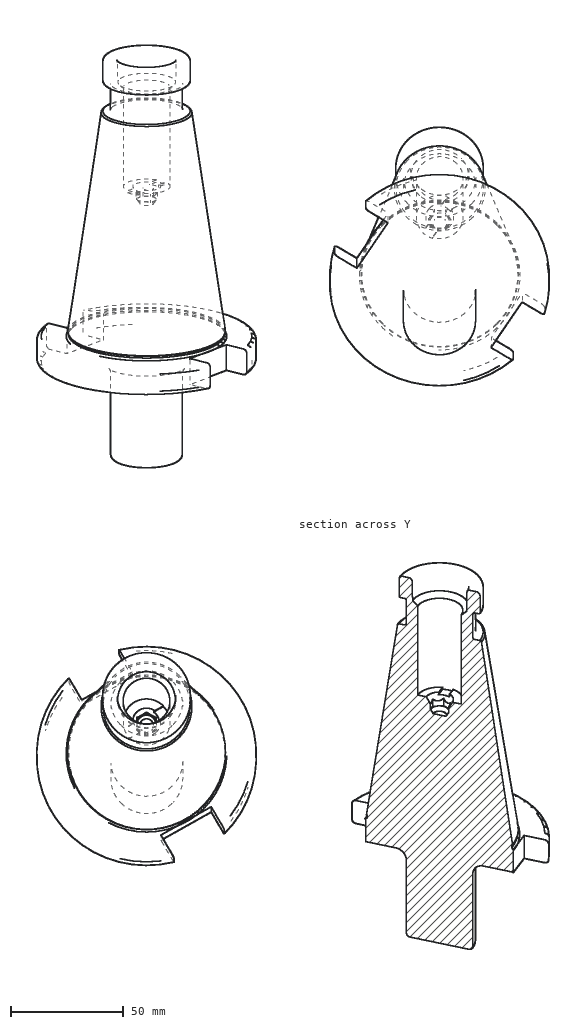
import cadquery as cq
import math


gauge_radius = 69.85 / 2
taper_slope = 7 / 48
taper_top_z = 101.8
taper_edge_chamfer = 0.7

collar_radius = 39.0 / 2
collar_top_z = 126.8
collar_height = 11.5
collar_top_fillet = 2.0
collar_bottom_fillet = 1.0
neck_radius = 16.0
neck_fillet = 0.8

flange_radius = 97.5 / 2
flange_top_z = -3.2
flange_thickness = 12.0
flange_fillet = 2.0
slot_width = 25.7
slot_floor_x = 35.3

taper_bottom_z = -1.0
undercut_depth = 0.4
undercut_fillet = 1.0

shank_radius = 16.0
shank_bottom_z = -60.0
shank_root_fillet = 5.0
shank_end_fillet = 2.0

bore_radius = 13.0
bore_mouth_fillet = 1.6
bore_depth = 9.0
bore_step_radius = 12.8
bore_step_chamfer_height = 0.8
bore_step_height = 2.4
thread_radius = 20.75 / 2
thread_lead_in_height = bore_step_radius - thread_radius
thread_bottom_depth = 60.0

cross_slot_width = 5.0
cross_slot_depth = 1.0
socket_mouth_radius = 6.2
socket_mouth_half_angle = math.radians(30)
socket_across_flats = 8.5
hexagon_sides = 6
socket_depth = 6.0
socket_tip_radius = 3.0
socket_tip_height = 2.0

flange_bottom_z = flange_top_z - flange_thickness
collar_bottom_z = collar_top_z - collar_height
thread_bottom_z = collar_top_z - thread_bottom_depth

OUT = (1, 0)
IN = (-1, 0)
UP = (0, 1)


def taper_radius(z):
    """Radius of the 7:24 taper at height z."""
    return gauge_radius - taper_slope * z


def rounded_corner(profile, corner, incoming, outgoing, radius):
    """Round an axis-aligned corner, given the travel directions into and out of it."""
    inset = radius * (1 - math.sqrt(0.5))
    start = (corner[0] - radius * incoming[0], corner[1] - radius * incoming[1])
    middle = (
        corner[0] + inset * (outgoing[0] - incoming[0]),
        corner[1] + inset * (outgoing[1] - incoming[1]),
    )
    end = (corner[0] + radius * outgoing[0], corner[1] + radius * outgoing[1])
    return profile.lineTo(*start).threePointArc(middle, end)


def revolve_about_axis(outline):
    """Close a (radius, height) outline and spin it a full turn about Z."""
    return outline.close().revolve(360, (0, 0), (0, 1))


def make_body():
    """Shank, flange, taper, neck and collar as one turned solid."""
    taper_bottom_radius = taper_radius(taper_bottom_z)
    undercut_radius = taper_bottom_radius - undercut_depth
    outline = cq.Workplane("XZ").moveTo(0, shank_bottom_z)
    outline = rounded_corner(outline, (shank_radius, shank_bottom_z), OUT, UP, shank_end_fillet)
    outline = rounded_corner(outline, (shank_radius, flange_bottom_z), UP, OUT, shank_root_fillet)
    outline = rounded_corner(outline, (flange_radius, flange_bottom_z), OUT, UP, flange_fillet)
    outline = rounded_corner(outline, (flange_radius, flange_top_z), UP, IN, flange_fillet)
    outline = rounded_corner(outline, (undercut_radius, flange_top_z), IN, UP, undercut_fillet)
    outline = outline.lineTo(undercut_radius, taper_bottom_z - undercut_depth)
    outline = outline.lineTo(taper_bottom_radius, taper_bottom_z)
    chamfer_z = taper_top_z - taper_edge_chamfer
    outline = outline.lineTo(taper_radius(chamfer_z), chamfer_z)
    outline = outline.lineTo(taper_radius(taper_top_z) - taper_edge_chamfer, taper_top_z)
    outline = rounded_corner(outline, (neck_radius, taper_top_z), IN, UP, neck_fillet)
    outline = rounded_corner(outline, (neck_radius, collar_bottom_z), UP, OUT, neck_fillet)
    outline = rounded_corner(outline, (collar_radius, collar_bottom_z), OUT, UP, collar_bottom_fillet)
    outline = rounded_corner(outline, (collar_radius, collar_top_z), UP, IN, collar_top_fillet)
    return revolve_about_axis(outline.lineTo(0, collar_top_z))


def cut_drive_slots(body):
    """Cut the two square slots through the flange rim at +X and -X."""
    slot_length = flange_radius - slot_floor_x
    slot_center_x = slot_floor_x + slot_length / 2
    for side in (1, -1):
        slot_plane = cq.Workplane("XY", origin=(side * slot_center_x, 0, flange_bottom_z))
        body = body.cut(slot_plane.rect(slot_length, slot_width).extrude(flange_thickness))
    return body


def make_bore():
    """Rounded mouth, step and threaded hole, drawn from the hole floor upward."""
    step_top_z = collar_top_z - bore_depth
    step_bottom_z = step_top_z - bore_step_height
    outline = cq.Workplane("XZ").moveTo(0, thread_bottom_z).lineTo(thread_radius, thread_bottom_z)
    outline = outline.lineTo(thread_radius, step_bottom_z - thread_lead_in_height)
    outline = outline.lineTo(bore_step_radius, step_bottom_z)
    outline = outline.lineTo(bore_step_radius, step_top_z - bore_step_chamfer_height)
    outline = outline.lineTo(bore_radius, step_top_z)
    outline = rounded_corner(outline, (bore_radius, collar_top_z), UP, OUT, bore_mouth_fillet)
    return revolve_about_axis(outline.lineTo(0, collar_top_z))


def make_cross_slot():
    """Slot along Y across the hole floor, ending at the hole wall."""
    floor_plane = cq.Workplane("XY", origin=(0, 0, thread_bottom_z))
    bar = floor_plane.rect(cross_slot_width, 2 * thread_radius).extrude(-cross_slot_depth)
    disc = floor_plane.circle(thread_radius).extrude(-cross_slot_depth)
    return bar.intersect(disc)


def make_cone(large_radius, small_radius, top_z, height):
    """Cone frustum that narrows downward from top_z."""
    outline = cq.Workplane("XZ").moveTo(0, top_z).lineTo(large_radius, top_z)
    outline = outline.lineTo(small_radius, top_z - height).lineTo(0, top_z - height)
    return revolve_about_axis(outline)


def make_socket():
    """Hexagon socket with a conical mouth and a conical tip; two flats face +X and -X."""
    inner_radius = socket_across_flats / 2
    corner_diameter = socket_across_flats / math.cos(math.pi / hexagon_sides)
    mouth_height = (socket_mouth_radius - inner_radius) / math.tan(socket_mouth_half_angle)
    mouth = make_cone(socket_mouth_radius, inner_radius, thread_bottom_z, mouth_height)
    hexagon = (
        cq.Workplane("XY", origin=(0, 0, thread_bottom_z))
        .transformed(rotate=(0, 0, 180 / hexagon_sides))
        .polygon(hexagon_sides, corner_diameter)
        .extrude(-socket_depth)
    )
    tip = make_cone(inner_radius, socket_tip_radius, thread_bottom_z - socket_depth, socket_tip_height)
    return mouth.union(hexagon).union(tip)


arbor = cut_drive_slots(make_body())
result = arbor.cut(make_bore()).cut(make_cross_slot()).cut(make_socket())